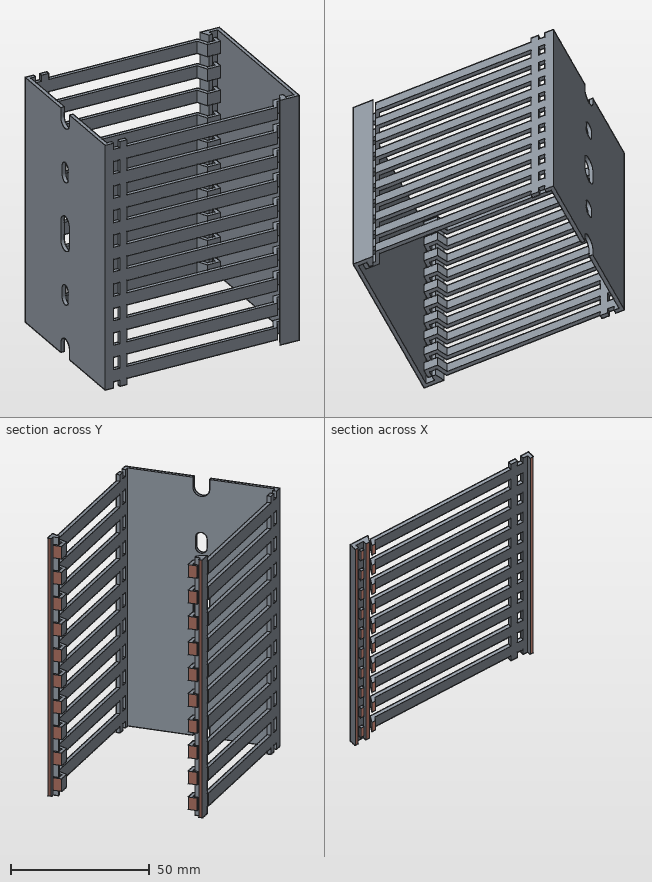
import cadquery as cq
import math

WIDTH = 60.0
DEPTH = 80.0
LENGTH = 100.0
HALF_WIDTH = WIDTH / 2
BASE_Y = -DEPTH / 2
COVER_Y = DEPTH / 2

WALL = 1.5

SNAP_SLOPE = 0.5
COVER_SKIRT_DEPTH = 8.0
SHOULDER_GAP = 1.0
SHOULDER_DEPTH = COVER_SKIRT_DEPTH + SHOULDER_GAP
BARB_REACH = 3.5
BARB_TOP_DEPTH = 4.8
HOOK_INSET = 5.5
HOOK_TIP_INSET = 2.0
HOOK_TOP_DEPTH = 2.5

FINGER_PITCH = 10.0
GAP_HEIGHT = 5.0
WINDOW_START = 3.5
WINDOW_END = 6.0
RUNG_END = 9.0

LARGE_SLOT_WIDTH = 6.5
LARGE_SLOT_LENGTH = 14.0
SMALL_SLOT_WIDTH = 4.5
SMALL_SLOT_LENGTH = 8.0
LARGE_SLOT_SPACING = LENGTH / 2
SMALL_SLOT_OFFSET = LARGE_SLOT_SPACING / 2


def mirrored_profile(left_half):
    """Extrude a closed outline made of a left half and its mirror image in X."""
    right_half = [(-x, y) for x, y in reversed(left_half)]
    profile = cq.Workplane("XY").polyline(left_half + right_half).close()
    return profile.extrude(LENGTH / 2, both=True)


def inset_point(inset, depth):
    """Point on the left side, given its inset from the side face and depth below the cover face."""
    return (inset - HALF_WIDTH, COVER_Y - depth)


def make_cover():
    """U-shaped lid whose two short skirts end in inward barbs."""
    return mirrored_profile([
        inset_point(0, 0),
        inset_point(0, COVER_SKIRT_DEPTH),
        inset_point(BARB_REACH, COVER_SKIRT_DEPTH - BARB_REACH * SNAP_SLOPE),
        inset_point(BARB_REACH, BARB_TOP_DEPTH),
        inset_point(WALL, BARB_TOP_DEPTH),
        inset_point(WALL, WALL),
    ])


def make_duct_blank():
    """U-shaped trough whose side walls end in hooks that hold the barbs of the cover."""
    groove_inset = HOOK_INSET - WALL
    shoulder_drop = WALL * math.hypot(1, SNAP_SLOPE)
    inner_depth = SHOULDER_DEPTH + shoulder_drop
    return mirrored_profile([
        (-HALF_WIDTH, BASE_Y),
        inset_point(0, SHOULDER_DEPTH),
        inset_point(groove_inset, SHOULDER_DEPTH - groove_inset * SNAP_SLOPE),
        inset_point(groove_inset, HOOK_TOP_DEPTH + WALL),
        inset_point(HOOK_TIP_INSET, HOOK_TOP_DEPTH + WALL),
        inset_point(HOOK_TIP_INSET, HOOK_TOP_DEPTH),
        inset_point(HOOK_INSET, HOOK_TOP_DEPTH),
        inset_point(HOOK_INSET, inner_depth - HOOK_INSET * SNAP_SLOPE),
        inset_point(WALL, inner_depth - WALL * SNAP_SLOPE),
        (WALL - HALF_WIDTH, BASE_Y + WALL),
    ])


def side_gap(start, end, z):
    """Cutter through both side walls, between two heights above the base's outer face."""
    return (
        cq.Workplane("XY")
        .box(WIDTH, end - start, GAP_HEIGHT)
        .translate((0, BASE_Y + (start + end) / 2, z))
    )


def cut_fingers(duct):
    """Separate the fingers and open the windows below the rungs that join them."""
    gap_count = round(LENGTH / FINGER_PITCH) + 1
    for i in range(gap_count):
        z = i * FINGER_PITCH - LENGTH / 2
        duct = duct.cut(side_gap(RUNG_END, DEPTH, z))
        duct = duct.cut(side_gap(WINDOW_START, WINDOW_END, z))
    return duct


def base_slot(length, width, z):
    """Round-ended cutter through the base, long along Z."""
    return (
        cq.Workplane("XZ", origin=(0, BASE_Y + WALL, z))
        .slot2D(length, width, 90)
        .extrude(WALL)
    )


def cut_mounting_slots(duct):
    """Large slots at the middle and both ends (open there), small slots in between."""
    for i in (-1, 0, 1):
        duct = duct.cut(base_slot(LARGE_SLOT_LENGTH, LARGE_SLOT_WIDTH, i * LARGE_SLOT_SPACING))
    for side in (-1, 1):
        duct = duct.cut(base_slot(SMALL_SLOT_LENGTH, SMALL_SLOT_WIDTH, side * SMALL_SLOT_OFFSET))
    return duct


cover = make_cover()
duct = cut_mounting_slots(cut_fingers(make_duct_blank()))

result = cq.Compound.makeCompound([duct.val(), cover.val()])